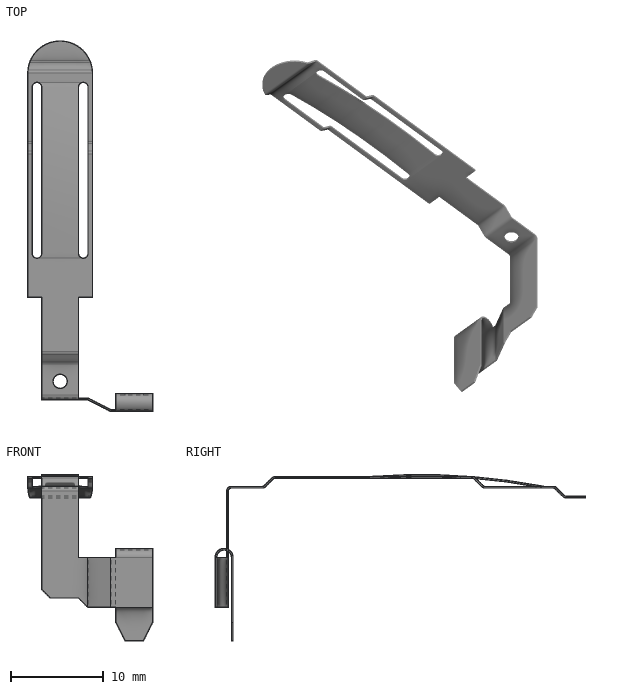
import cadquery as cq
import math


thickness = 0.2
bend_radius = 0.4
half_sheet = thickness / 2

plate_width = 7.0
neck_width = 4.0
plate_front_y = 11.05
tip_y = 38.73
tip_radius = plate_width / 2

step_height = 1.05
near_step_y = 4.54
rail_step_y = 27.2
tab_step_y = 35.95

bow_start_y = 15.3
bow_end_y = 34.25
bow_rise = 0.23
slot_width = 1.0

cut_reach = 2 * step_height

hole_diameter = 1.5
hole_y = 2.0

bottom_z = -17.72
leg_bottom_z = -13.12
band_bottom_z = -14.12
band_top_z = -8.72
corner_size = 0.95
jog_start_x = 3.0
jog_end_x = 5.45
jog_depth = 1.25

clip_width = 4.0
clip_end_x = 10.0
curl_radius = 0.98
blade_taper_height = 2.0
blade_taper_side = 1.0


def ramp(center_y, z_before, z_after):
    """Two path corners of a 45 degree step centred on center_y."""
    half_run = abs(z_after - z_before) / 2
    return [(center_y - half_run, z_before), (center_y + half_run, z_after)]


def yz_box(width, y_min, y_max, z_min, z_max):
    """Box centred on X = 0."""
    return (
        cq.Workplane("XY", origin=(0, (y_min + y_max) / 2, (z_min + z_max) / 2))
        .box(width, y_max - y_min, z_max - z_min)
    )


def xz_prism(points):
    """Prism along Y with the given XZ outline, deep enough to pass through the leg and clip."""
    depth = 10.0
    return cq.Workplane("XZ").polyline(points).close().extrude(depth, both=True)


def make_folded_strip():
    """Full-width strip following the leg, neck, rails and end tab."""
    raised_z = -half_sheet
    lower_z = raised_z - step_height
    tab_z = lower_z - step_height
    corners = [(half_sheet, leg_bottom_z), (half_sheet, lower_z)]
    corners += ramp(near_step_y, lower_z, raised_z)
    corners += ramp(rail_step_y, raised_z, lower_z)
    corners += ramp(tab_step_y, lower_z, tab_z)
    corners.append((tip_y, tab_z))
    path = cq.Wire.makePolygon([cq.Vector(0, y, z) for y, z in corners])
    path = path.fillet(bend_radius, path.Vertices()[1:-1])
    return (
        cq.Workplane("XY", origin=(0, half_sheet, leg_bottom_z))
        .rect(plate_width, thickness)
        .sweep(cq.Workplane(path))
    )


def make_plan_outline():
    """Tall prism with the plan shape of the strap: neck, plate and round tip."""
    half_plate = plate_width / 2
    half_neck = neck_width / 2
    tip_center_y = tip_y - tip_radius
    return (
        cq.Workplane("XY", origin=(0, 0, bottom_z))
        .moveTo(-half_neck, 0)
        .lineTo(half_neck, 0)
        .lineTo(half_neck, plate_front_y)
        .lineTo(half_plate, plate_front_y)
        .lineTo(half_plate, tip_center_y)
        .threePointArc((0, tip_y), (-half_plate, tip_center_y))
        .lineTo(-half_plate, plate_front_y)
        .lineTo(-half_neck, plate_front_y)
        .close()
        .extrude(-bottom_z)
    )


def make_bow(width):
    """Arched tongue from the raised plate to the lowered far end, highest at its crest."""
    start_reach = math.sqrt(bow_rise)
    end_reach = math.sqrt(bow_rise + step_height)
    crest_y = bow_start_y + (bow_end_y - bow_start_y) * start_reach / (start_reach + end_reach)
    return (
        cq.Workplane("YZ", origin=(-width / 2, 0, 0))
        .moveTo(bow_start_y, 0)
        .threePointArc((crest_y, bow_rise), (bow_end_y, -step_height))
        .lineTo(bow_end_y, -step_height - thickness)
        .threePointArc((crest_y, bow_rise - thickness), (bow_start_y, -thickness))
        .close()
        .extrude(width)
    )


def make_strap():
    """Strap with its bowed tongue, slots and hole."""
    strap = make_folded_strip().intersect(make_plan_outline())

    bow_width = neck_width + slot_width
    strap = strap.cut(yz_box(bow_width, bow_start_y, bow_end_y, -cut_reach, cut_reach))
    strap = strap.union(make_bow(bow_width))

    slot_x = bow_width / 2
    slot_length = bow_end_y - bow_start_y
    slots = (
        cq.Workplane("XY", origin=(0, (bow_start_y + bow_end_y) / 2, 0))
        .pushPoints([(-slot_x, 0), (slot_x, 0)])
        .slot2D(slot_length, slot_width, 90)
        .extrude(cut_reach, both=True)
    )
    hole = (
        cq.Workplane("XY", origin=(0, hole_y, 0))
        .circle(hole_diameter / 2)
        .extrude(cut_reach, both=True)
    )
    return strap.cut(slots).cut(hole)


def make_band():
    """Side band that leaves the leg and jogs forward to the clip."""
    leg_y = half_sheet
    front_y = half_sheet - jog_depth
    start_x = neck_width / 2
    path = cq.Workplane("XY", origin=(0, 0, (band_bottom_z + band_top_z) / 2)).polyline(
        [(start_x, leg_y), (jog_start_x, leg_y), (jog_end_x, front_y), (clip_end_x, front_y)]
    )
    return (
        cq.Workplane("YZ", origin=(start_x, leg_y, (band_bottom_z + band_top_z) / 2))
        .rect(thickness, band_top_z - band_bottom_z)
        .sweep(path, transition="right")
    )


def make_clip():
    """Half-round curl over the band top, continuing down as a tapered blade."""
    front_y = -jog_depth
    center_y = front_y + curl_radius
    back_y = center_y + curl_radius
    inner_radius = curl_radius - thickness
    clip_start_x = clip_end_x - clip_width
    clip = (
        cq.Workplane("YZ", origin=(clip_start_x, 0, 0))
        .moveTo(front_y, band_top_z)
        .threePointArc((center_y, band_top_z + curl_radius), (back_y, band_top_z))
        .lineTo(back_y, bottom_z)
        .lineTo(back_y - thickness, bottom_z)
        .lineTo(back_y - thickness, band_top_z)
        .threePointArc((center_y, band_top_z + inner_radius), (front_y + thickness, band_top_z))
        .close()
        .extrude(clip_width)
    )
    for edge_x, inward in ((clip_start_x, 1), (clip_end_x, -1)):
        taper = xz_prism([
            (edge_x, bottom_z),
            (edge_x, bottom_z + blade_taper_height),
            (edge_x + inward * blade_taper_side, bottom_z),
        ])
        clip = clip.cut(taper)
    return clip


def make_corner_cuts():
    """45 degree cuts at the leg's free corner and where the band meets the leg."""
    leg_side_x = neck_width / 2
    free_corner = xz_prism([
        (-leg_side_x, leg_bottom_z),
        (-leg_side_x, leg_bottom_z + corner_size),
        (-leg_side_x + corner_size, leg_bottom_z),
    ])
    band_corner = xz_prism([
        (leg_side_x, leg_bottom_z),
        (jog_start_x, band_bottom_z),
        (leg_side_x, band_bottom_z),
    ])
    return free_corner.union(band_corner)


result = make_strap().union(make_band()).cut(make_corner_cuts()).union(make_clip())